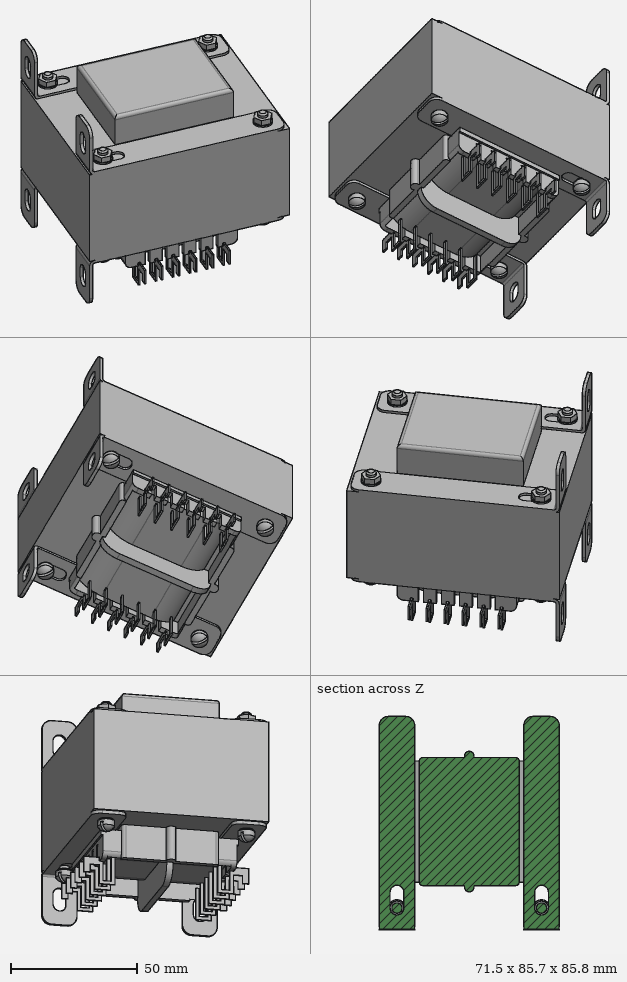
import cadquery as cq

CORE_X = 71.45
CORE_Y = 85.7
CORE_Z = 41.5
FRONT_Y = -CORE_Y / 2

BRACKET_W = 14.2
BRACKET_T = 1.4
BRACKET_X = (CORE_X - BRACKET_W) / 2
BRACKET_H = 21.7
BRACKET_END_GAP = 1.1
BRACKET_LEN = CORE_Y - BRACKET_END_GAP
CORNER_R = 3.8
BEND_R = 2.2
TOP_SINK = 0.35
SLOT_W = 5.3
SLOT_LEN = 9.5
SLOT_TO_LUG_END = 10.5

SCREW_Y = 34.3
SCREW_R = 2.1
SCREW_TIP_R = 1.4
SCREW_TIP_CHAMFER_H = 0.7
SCREW_PROTRUSION = 1.7
FOOT_SLOT_END = 9.0
NUT_WASHER_R = 3.95
NUT_ACROSS_CORNERS = 7.7
NUT_H = 2.4
WASHER_T = 0.64
HEAD_WASHER_R = 2.75
HEAD_R = 3.35
HEAD_RIM_H = 2.4
HEAD_DOME_H = 1.9
DRIVE_SLOT_W = 1.0
DRIVE_SLOT_DEPTH = 3.3
DRIVE_SLOT_ANGLE = 45

COIL_X = 39.7
COIL_Y = 50.8
COVER_H = 13.3
COIL_ROUND = 1.5
COIL_DEPTH = 13.7
RIB_R = 1.9
RIB_END_Y = 27.9

WINDING_Y = 45.9
WINDING_BOTTOM = -10.05
WINDING_R = 12.0

BOBBIN_Y = 48.1
PARTITION_X = 2.6
PARTITION_BOTTOM = -21.5
PARTITION_R = 7.65

CARRIER_OUTER_X = 27.4
CARRIER_TOP = -2.15
CARRIER_R = 2.7
RAIL_BOTTOM = -4.5
RAIL_OVERHANG = 0.7
CARRIER_WALL = 2.15
NOTCH_W = 2.1
NOTCH_TOP = -5.8

PIN_COUNT = 6
PIN_ROW_Y = 36.2
PIN_PITCH = PIN_ROW_Y / (PIN_COUNT - 1)
PIN_T = 0.7
PIN_TOP = -12.1
PIN_BOTTOM = -23.0
PIN_OUTER_X = 33.7
PIN_INNER_X = 21.0
PIN_BAR_H = 3.1
PIN_HOOK_W = 2.6
PIN_HOOK_BOTTOM = -18.5
PIN_LEG_W = 1.5
PIN_FOOT_H = 1.4
PIN_BOSS_R = 0.7
PIN_BOSS_H = 0.3


def box(x0, x1, y0, y1, z0, z1):
    """Axis-aligned box between two opposite corners."""
    return cq.Workplane("XY").box(x1 - x0, y1 - y0, z1 - z0, centered=False).translate((x0, y0, z0))


def disc(radius, z0, z1):
    """Vertical cylinder about the Z axis between two heights."""
    return cq.Workplane("XY").workplane(offset=z0).circle(radius).extrude(z1 - z0)


def make_bracket():
    """Bracket with its foot resting on Z = 0, its lug rising at the front, centred on X = 0."""
    back_y = FRONT_Y + BRACKET_LEN
    half_w = BRACKET_W / 2
    bracket = box(-half_w, half_w, FRONT_Y, back_y, 0, BRACKET_H)
    bracket = bracket.cut(box(-half_w, half_w, FRONT_Y + BRACKET_T, back_y, BRACKET_T, BRACKET_H))
    bracket = bracket.edges("|X").edges("<Y and <Z").fillet(BEND_R)
    inner_corner = cq.selectors.NearestToPointSelector((0, FRONT_Y + BRACKET_T, BRACKET_T))
    bracket = bracket.edges("|X").edges(inner_corner).fillet(BEND_R - BRACKET_T)
    bracket = bracket.faces(">Z").edges("|Y").fillet(CORNER_R)
    bracket = bracket.faces(">Y").edges("|Z").fillet(CORNER_R)

    lug_slot = (
        cq.Workplane("XZ", origin=(0, FRONT_Y, BRACKET_H - SLOT_TO_LUG_END))
        .slot2D(SLOT_LEN, SLOT_W, 90)
        .extrude(-BRACKET_T)
    )
    foot_slot_len = FOOT_SLOT_END + SLOT_W / 2
    foot_slot = (
        cq.Workplane("XY", origin=(0, -SCREW_Y + FOOT_SLOT_END - foot_slot_len / 2, 0))
        .slot2D(foot_slot_len, SLOT_W, 90)
        .extrude(BRACKET_T)
    )
    return bracket.cut(lug_slot).cut(foot_slot)


def make_nut_end():
    """Washer, nut and thread end standing on Z = 0."""
    nut_top = WASHER_T + NUT_H
    screw_top = nut_top + SCREW_PROTRUSION
    nut = (
        cq.Workplane("XY")
        .workplane(offset=WASHER_T)
        .transformed(rotate=(0, 0, 90))
        .polygon(6, NUT_ACROSS_CORNERS)
        .extrude(NUT_H)
    )
    thread = disc(SCREW_R, -BRACKET_T, screw_top)
    thread = thread.faces(">Z").chamfer(SCREW_TIP_CHAMFER_H, SCREW_R - SCREW_TIP_R)
    return disc(NUT_WASHER_R, 0, WASHER_T).union(nut).union(thread)


def make_screw_head():
    """Washer and slotted round head hanging below Z = 0, with the shank running up to the core."""
    rim_bottom = -WASHER_T - HEAD_RIM_H
    head_bottom = rim_bottom - HEAD_DOME_H
    dome_r = (HEAD_R**2 + HEAD_DOME_H**2) / (2 * HEAD_DOME_H)
    dome = cq.Workplane("XY").sphere(dome_r).translate((0, 0, head_bottom + dome_r))
    head = disc(HEAD_R, head_bottom, -WASHER_T).intersect(dome)
    drive_slot = box(
        -HEAD_R, HEAD_R,
        -DRIVE_SLOT_W / 2, DRIVE_SLOT_W / 2,
        head_bottom, head_bottom + DRIVE_SLOT_DEPTH,
    ).rotate((0, 0, 0), (0, 0, 1), DRIVE_SLOT_ANGLE)
    washer = disc(HEAD_WASHER_R, -WASHER_T, 0)
    shank = disc(SCREW_R, -WASHER_T, BRACKET_T)
    return head.cut(drive_slot).union(washer).union(shank)


def make_cover():
    """Coil cover on top of the core with a rounded top rim."""
    cover = box(-COIL_X / 2, COIL_X / 2, -COIL_Y / 2, COIL_Y / 2, CORE_Z, CORE_Z + COVER_H)
    return cover.faces(">Z").edges().fillet(COIL_ROUND)


def make_winding_block():
    """Winding block below the core with a rounded rib on each end."""
    block = box(-COIL_X / 2, COIL_X / 2, -COIL_Y / 2, COIL_Y / 2, -COIL_DEPTH, 0)
    block = block.edges("|Z").fillet(COIL_ROUND)
    ribs = (
        cq.Workplane("XY")
        .slot2D(2 * RIB_END_Y, 2 * RIB_R, 90)
        .extrude(-COIL_DEPTH)
    )
    return block.union(ribs)


def make_partition():
    """Round-cornered plate along the middle of the winding block."""
    half_y = BOBBIN_Y / 2
    partition = box(-PARTITION_X / 2, PARTITION_X / 2, -half_y, half_y, PARTITION_BOTTOM, 0)
    return partition.faces("<Z").edges("|X").fillet(PARTITION_R)


def make_winding_recess():
    """Open space under the winding; its roof follows the rounded underside of the winding."""
    half_x = CARRIER_OUTER_X - CARRIER_WALL
    half_y = WINDING_Y / 2
    recess = box(-half_x, half_x, -half_y, half_y, -COIL_DEPTH, RAIL_BOTTOM)
    winding = box(-half_x, half_x, -half_y, half_y, WINDING_BOTTOM, CORE_Z)
    winding = winding.faces("<Z").edges("|X").fillet(WINDING_R)
    return recess.cut(winding)


def make_carrier():
    """Terminal carrier on the -X side of the winding block."""
    half_y = BOBBIN_Y / 2
    inner_x = -COIL_X / 2
    outer_x = -CARRIER_OUTER_X
    carrier = box(outer_x, inner_x, -half_y, half_y, -COIL_DEPTH, CARRIER_TOP)
    carrier = carrier.faces("<Z").edges("|X").fillet(CARRIER_R)
    rail = box(outer_x - RAIL_OVERHANG, inner_x, -half_y, half_y, RAIL_BOTTOM, CARRIER_TOP)
    carrier = carrier.union(rail)

    notch = box(outer_x, outer_x + CARRIER_WALL, -NOTCH_W / 2, NOTCH_W / 2, -COIL_DEPTH, NOTCH_TOP)
    for i in range(PIN_COUNT - 1):
        notch_y = (i - (PIN_COUNT - 2) / 2) * PIN_PITCH
        carrier = carrier.cut(notch.translate((0, notch_y, 0)))
    return carrier


def make_pin():
    """Flat terminal pin for the -X carrier: outer hook, cross bar and a U-shaped loop below."""
    loop_x = -CARRIER_OUTER_X
    half_t = PIN_T / 2
    bar_end_x = loop_x + PIN_LEG_W
    hook = box(-PIN_OUTER_X, -PIN_OUTER_X + PIN_HOOK_W, -half_t, half_t, PIN_HOOK_BOTTOM, PIN_TOP)
    bar = box(-PIN_OUTER_X, bar_end_x, -half_t, half_t, PIN_TOP - PIN_BAR_H, PIN_TOP)
    outer_leg = box(loop_x, bar_end_x, -half_t, half_t, PIN_BOTTOM, PIN_TOP)
    foot = box(loop_x, -PIN_INNER_X, -half_t, half_t, PIN_BOTTOM, PIN_BOTTOM + PIN_FOOT_H)
    inner_leg_x = -PIN_INNER_X - PIN_LEG_W
    inner_leg = box(inner_leg_x, -PIN_INNER_X, -half_t, half_t, PIN_BOTTOM, WINDING_BOTTOM)
    boss = (
        cq.Workplane("YZ", origin=(loop_x, 0, PIN_TOP - PIN_BOSS_R))
        .circle(PIN_BOSS_R)
        .extrude(-PIN_BOSS_H)
    )
    return hook.union(bar).union(outer_leg).union(foot).union(inner_leg).union(boss)


core = box(-CORE_X / 2, CORE_X / 2, -CORE_Y / 2, CORE_Y / 2, 0, CORE_Z)
carrier = make_carrier()
result = core.union(make_cover()).union(make_winding_block())
result = result.union(carrier).union(carrier.mirror("YZ"))
result = result.cut(make_winding_recess()).union(make_partition())

pin = make_pin()
for side_pin in (pin, pin.mirror("YZ")):
    for i in range(PIN_COUNT):
        pin_y = (i - (PIN_COUNT - 1) / 2) * PIN_PITCH
        result = result.union(side_pin.translate((0, pin_y, 0)))

top_bracket = make_bracket().translate((0, 0, CORE_Z - TOP_SINK))
bottom_bracket = make_bracket().mirror("XY")
nut_end = make_nut_end().translate((0, 0, CORE_Z - TOP_SINK + BRACKET_T))
screw_head = make_screw_head().translate((0, 0, -BRACKET_T))
for x in (-BRACKET_X, BRACKET_X):
    result = result.union(top_bracket.translate((x, 0, 0)))
    result = result.union(bottom_bracket.translate((x, 0, 0)))
    for y in (-SCREW_Y, SCREW_Y):
        result = result.union(nut_end.translate((x, y, 0)))
        result = result.union(screw_head.translate((x, y, 0)))